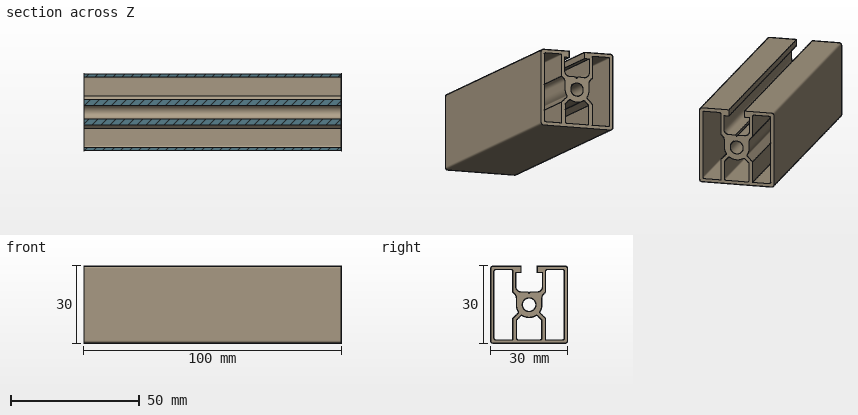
import cadquery as cq
import math

length = 100.0
side = 30.0
half_side = side / 2
wall = 1.35
outer_radius = 1.0
cavity_radius = 0.6

slot_mouth = 6.3
slot_width = 10.3
slot_floor_z = 5.0
slot_floor_radius = 2.0
lip_thickness = 2.5
groove_width = 0.9
groove_depth = 0.5

core_radius = 5.0
bore_diameter = 5.2

web_outer_y = 6.4
lower_web_thickness = 1.5
shoulder_z = 4.9
diagonal_thickness = 1.5
shoulder_radius = 2.0
crease_radius = 0.5

inner_half = half_side - wall
lower_web_inner_y = web_outer_y - lower_web_thickness
diagonal_offset = diagonal_thickness / math.sqrt(2)
flank_half_chord = math.sqrt(core_radius**2 / 2 - diagonal_offset**2 / 4)
flank_far = flank_half_chord + diagonal_offset / 2
flank_near = flank_half_chord - diagonal_offset / 2


def on_core(angle_degrees):
    """Point of the core circle, measured from +Y towards +Z."""
    angle = math.radians(angle_degrees)
    return core_radius * math.cos(angle), core_radius * math.sin(angle)


def extrude_along_x(outline):
    return outline.extrude(length / 2, both=True)


def outer_block():
    block = cq.Workplane("YZ").rect(side, side)
    return extrude_along_x(block).edges("|X").fillet(outer_radius)


def fillet_edge_at(solid, y, z, radius):
    """Fillet the lengthwise edge through the profile point (y, z)."""
    return solid.edges(cq.selectors.NearestToPointSelector((0, y, z))).fillet(radius)


def t_slot():
    lip_z = half_side - lip_thickness
    chamber = extrude_along_x(
        cq.Workplane("YZ")
        .center(0, (lip_z + slot_floor_z) / 2)
        .rect(slot_width, lip_z - slot_floor_z)
    )
    chamber = chamber.edges("|X and <Z").fillet(slot_floor_radius)
    mouth = extrude_along_x(
        cq.Workplane("YZ")
        .center(0, (half_side + slot_floor_z) / 2)
        .rect(slot_mouth, half_side - slot_floor_z)
    )
    groove = extrude_along_x(
        cq.Workplane("YZ")
        .moveTo(-groove_width / 2, slot_floor_z)
        .lineTo(groove_width / 2, slot_floor_z)
        .lineTo(0, slot_floor_z - groove_depth)
        .close()
    )
    return chamber.union(mouth).union(groove)


def side_cavity():
    """Tall cavity on the +Y side, with a sharp corner at the foot of the web."""
    flank_angle = -math.degrees(math.atan2(flank_near, flank_far))
    shoulder_foot_z = shoulder_z - (web_outer_y - core_radius)
    cavity = extrude_along_x(
        cq.Workplane("YZ")
        .moveTo(inner_half, -inner_half)
        .lineTo(inner_half, inner_half)
        .lineTo(web_outer_y, inner_half)
        .lineTo(web_outer_y, shoulder_z)
        .lineTo(core_radius, shoulder_foot_z)
        .lineTo(core_radius, 0)
        .threePointArc(on_core(flank_angle / 2), (flank_far, -flank_near))
        .lineTo(web_outer_y, -(web_outer_y - diagonal_offset))
        .lineTo(web_outer_y, -inner_half)
        .close()
    )
    rounded = cavity.edges("|X and >Z").fillet(cavity_radius)
    rounded = rounded.edges("|X and >Y and <Z").fillet(cavity_radius)
    rounded = fillet_edge_at(rounded, core_radius, shoulder_foot_z, shoulder_radius)
    return fillet_edge_at(rounded, flank_far, -flank_near, crease_radius)


def lower_cavity():
    """Cavity between the lower webs, with the core bulging into its roof."""
    diagonal_foot_z = -(lower_web_inner_y + diagonal_offset)
    cavity = extrude_along_x(
        cq.Workplane("YZ")
        .moveTo(-lower_web_inner_y, -inner_half)
        .lineTo(-lower_web_inner_y, diagonal_foot_z)
        .lineTo(-flank_near, -flank_far)
        .threePointArc((0, -core_radius), (flank_near, -flank_far))
        .lineTo(lower_web_inner_y, diagonal_foot_z)
        .lineTo(lower_web_inner_y, -inner_half)
        .close()
    )
    rounded = cavity.edges("|X and <Z").fillet(cavity_radius)
    for crease_y in (-flank_near, flank_near):
        rounded = fillet_edge_at(rounded, crease_y, -flank_far, crease_radius)
    return rounded


def bore():
    return extrude_along_x(cq.Workplane("YZ").circle(bore_diameter / 2))


right_cavity = side_cavity()
left_cavity = right_cavity.mirror("XZ")

result = outer_block()
for void in (t_slot(), right_cavity, left_cavity, lower_cavity(), bore()):
    result = result.cut(void)